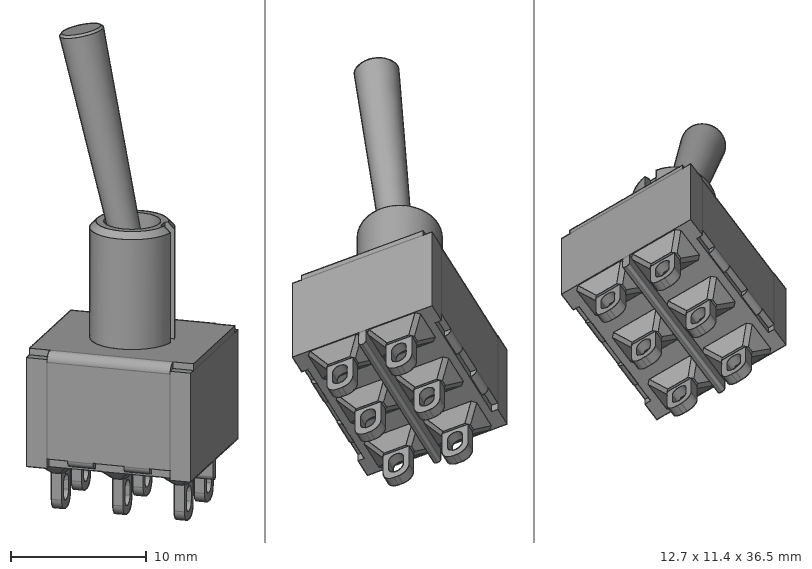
import cadquery as cq
import math

WIDTH = 12.7
DEPTH = 11.45
OVERALL_HEIGHT = 36.55
LUG_DROP = 3.95
CASE_TOP = 8.9
TOGGLE_TOP = OVERALL_HEIGHT - LUG_DROP

SHEET = 0.5
FLAP_WIDTH = 9.55
FLAP_BOTTOM = 0.73
BEND_RADIUS = 0.73
TAB_WIDTH = 1.97
TAB_SPACING = 4.35
TAB_BOTTOM = 0.2

BUSHING_DIAMETER = 6.3
BUSHING_HEIGHT = 8.95
BUSHING_CHAMFER = 0.48
BORE_DIAMETER = 4.2
KEYWAY_WIDTH = 1.0
KEYWAY_FLOOR = 2.38

TILT = 12.5
PIVOT_BELOW_BUSHING_TOP = 3.47
TIP_DIAMETER = 3.33
PIVOT_DIAMETER = 2.2
TIP_CHAMFER = 0.2

ROWS = 2
COLUMNS = 3
COLUMN_PITCH = 4.75
ROW_PITCH = 4.82
SEAL_LENGTH = 3.1
SEAL_WIDTH = 4.4
SEAL_HEIGHT = 1.0
SEAL_SLOPE = 45.0
SEAL_EDGE_CHAMFER = 0.25
LUG_THICKNESS = 0.8
LUG_WIDTH = 2.12
LUG_CORNER_RADIUS = 0.88
EYE_WIDTH = 1.2
EYE_LENGTH = 1.97
EYE_CENTER_DROP = 2.35
BARRIER_DROP = 1.45
BARRIER_THICKNESS = 0.6
BARRIER_EDGE_RADIUS = 0.25

BUSHING_TOP = CASE_TOP + BUSHING_HEIGHT
PIVOT_Z = BUSHING_TOP - PIVOT_BELOW_BUSHING_TOP
BALL_RADIUS = BORE_DIAMETER / 2


def box(length, width, bottom, top):
    """Box centred on the Z axis between two heights."""
    return cq.Workplane("XY").workplane(offset=bottom).rect(length, width).extrude(top - bottom)


def make_frame():
    """Top plate with two folded-down flaps, each ending in two tabs bent under."""
    plate = box(WIDTH, DEPTH - 2 * BEND_RADIUS, CASE_TOP - SHEET, CASE_TOP)
    folded = (
        box(FLAP_WIDTH, DEPTH, FLAP_BOTTOM, CASE_TOP)
        .edges("|X and >Z").fillet(BEND_RADIUS)
        .cut(box(FLAP_WIDTH, DEPTH - 2 * SHEET, FLAP_BOTTOM, CASE_TOP - SHEET))
    )
    frame = plate.union(folded)
    for x in (-TAB_SPACING / 2, TAB_SPACING / 2):
        tab_pair = (
            box(TAB_WIDTH, DEPTH, TAB_BOTTOM, FLAP_BOTTOM)
            .edges("|X and <Z").fillet(SHEET)
            .cut(box(TAB_WIDTH, DEPTH - 2 * SHEET, TAB_BOTTOM, FLAP_BOTTOM))
        )
        frame = frame.union(tab_pair.translate((x, 0, 0)))
    return frame


def make_case():
    """Moulded block, cut back on the front and rear faces to take the flaps."""
    corners = box(WIDTH, DEPTH, 0, CASE_TOP - SHEET)
    flap_recesses = (
        box(FLAP_WIDTH, DEPTH, 0, CASE_TOP)
        .cut(box(FLAP_WIDTH, DEPTH - 2 * SHEET, 0, CASE_TOP))
    )
    return corners.cut(flap_recesses)


def make_bushing():
    bushing = (
        cq.Workplane("XY").workplane(offset=CASE_TOP)
        .circle(BUSHING_DIAMETER / 2).extrude(BUSHING_HEIGHT)
        .faces(">Z").chamfer(BUSHING_CHAMFER)
    )
    keyway = (
        box(BUSHING_DIAMETER, KEYWAY_WIDTH, CASE_TOP, BUSHING_TOP)
        .translate((KEYWAY_FLOOR + BUSHING_DIAMETER / 2, 0, 0))
    )
    return bushing.cut(keyway)


def make_socket():
    """Bore from the bushing top down to a round seat for the toggle ball."""
    bore = (
        cq.Workplane("XY").workplane(offset=PIVOT_Z)
        .circle(BALL_RADIUS).extrude(BUSHING_TOP - PIVOT_Z)
    )
    seat = cq.Workplane("XY").sphere(BALL_RADIUS).translate((0, 0, PIVOT_Z))
    return bore.union(seat)


def make_barrier():
    return (
        box(WIDTH, BARRIER_THICKNESS, -BARRIER_DROP, 0)
        .edges("|X and <Z").fillet(BARRIER_EDGE_RADIUS)
    )


def make_terminal():
    """Tapered seal under the case with an eyed solder lug below it."""
    seal = (
        cq.Workplane("XY").rect(SEAL_LENGTH, SEAL_WIDTH)
        .extrude(-SEAL_HEIGHT, taper=SEAL_SLOPE)
        .edges("not(#Z)").chamfer(SEAL_EDGE_CHAMFER)
    )
    lug = (
        box(LUG_THICKNESS, LUG_WIDTH, -LUG_DROP, -SEAL_HEIGHT)
        .edges("|X and <Z").fillet(LUG_CORNER_RADIUS)
    )
    eye = (
        cq.Workplane("YZ").center(0, -EYE_CENTER_DROP)
        .slot2D(EYE_LENGTH, EYE_WIDTH, 90).extrude(LUG_THICKNESS, both=True)
    )
    return seal.union(lug.cut(eye))


def make_housing():
    """Case, frame, bushing, barrier and terminals as one solid."""
    housing = make_case().union(make_frame(), clean=False)
    housing = housing.union(make_bushing(), clean=False).cut(make_socket(), clean=False)
    housing = housing.union(make_barrier(), clean=False)
    terminal = make_terminal()
    for column in range(COLUMNS):
        for row in range(ROWS):
            x = (column - (COLUMNS - 1) / 2) * COLUMN_PITCH
            y = (row - (ROWS - 1) / 2) * ROW_PITCH
            housing = housing.union(terminal.translate((x, y, 0)), clean=False)
    return housing


def make_toggle():
    """Ball with a shaft that widens to its tip, leaning toward -X."""
    tilt = math.radians(TILT)
    tip_radius = TIP_DIAMETER / 2
    face_radius = tip_radius - TIP_CHAMFER
    length = (TOGGLE_TOP - PIVOT_Z - face_radius * math.sin(tilt)) / math.cos(tilt)
    shaft = (
        cq.Workplane("XZ")
        .polyline([
            (0, 0),
            (PIVOT_DIAMETER / 2, 0),
            (tip_radius, length - TIP_CHAMFER),
            (face_radius, length),
            (0, length),
        ])
        .close()
        .revolve(360, (0, 0), (0, 1))
    )
    toggle = shaft.union(cq.Workplane("XY").sphere(BALL_RADIUS))
    return toggle.rotate((0, 0, 0), (0, 1, 0), -TILT).translate((0, 0, PIVOT_Z))


housing = make_housing()
toggle = make_toggle()
result = cq.Compound.makeCompound([housing.val(), toggle.val()])